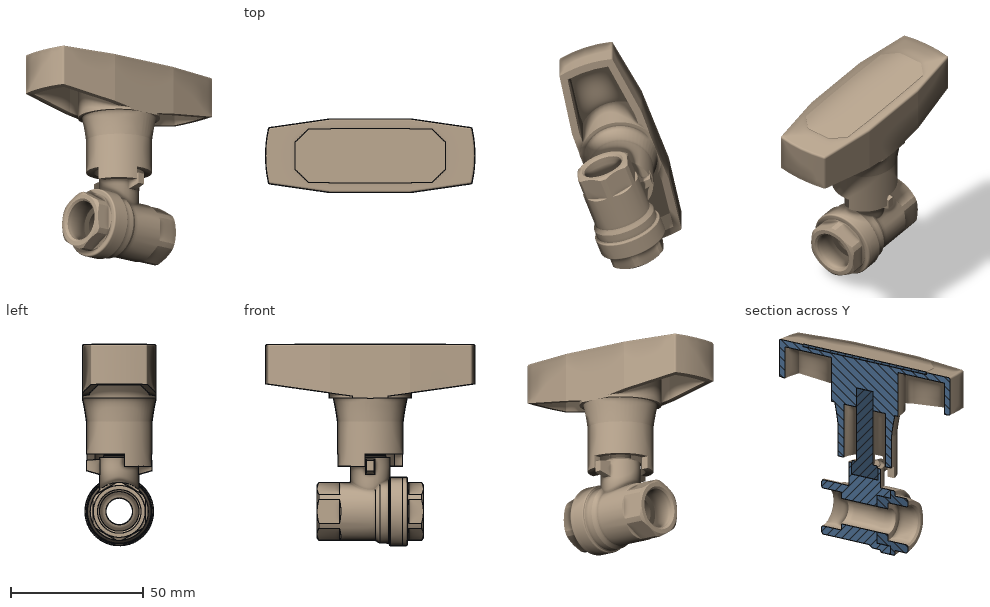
import cadquery as cq
import math


END_X = 20.2
BORE_D = 10.0
THREAD_D = 15.0
THREAD_MOUTH_D = 16.5
THREAD_LENGTH = 9.3
MOUTH_DEPTH = 0.7

BARREL_R = 10.97
HEX_FLAT_DIST = 10.0
HEX_RUNOUT = 0.7
END_FACE_R = 9.8
END_CHAMFER = 0.8
BODY_FLAT_END = -11.1
CONE_START_X = 1.9
CONE_END_X = 3.65
SHOULDER_R = 12.05
COLLAR_START_X = 7.3
COLLAR_R = 13.0
COLLAR_ROUND = 0.4
JOINT_X = 12.1
FLANGE_END_X = 14.0
FLANGE_ROUND = 0.55
SPIGOT_D = 18.9
SPIGOT_LENGTH = 6.3
NECK_D = 15.0
NECK_TOP = 20.4
NECK_ROUND = 0.4

LUG_REACH = 12.4
LUG_ROOT_WIDTH = 3.5
LUG_TIP_WIDTH = 2.7
LUG_ROOT_TOP = 19.7
LUG_TIP_TOP = 19.3
LUG_ROOT_BOTTOM = 13.95
LUG_TIP_BOTTOM = 15.4

STEM_SHOULDER_D = 12.0
STEM_SHOULDER_CHAMFER = 0.4
STEM_SHOULDER_TOP = 21.4
STEM_BOTTOM = 15.85
STEM_SHAFT_D = 8.0
STEM_TOP = 50.7

SLEEVE_R = 12.4
SLEEVE_BORE_D = 18.9
SKIRT_BOTTOM = 17.0
SKIRT_TOP = 21.6
SKIRT_GAP = 2.0
FLARE_START = 33.9
FLARE_MID_INSET = 0.12
HUB_BOTTOM = 42.85
HUB_R = 15.5

GRIP_HALF_LENGTH = 39.6
GRIP_HALF_WIDTH = 13.98
GRIP_TOP = 63.1
GRIP_APEX_Z = 42.6
UNDERSIDE_SLOPE = math.tan(math.radians(8))
ARM_TAPER = math.tan(math.radians(8.2))
GRIP_FLAT_HALF = 15.05
GRIP_CORNER_X = 38.4
GRIP_WALL = 2.8
GRIP_ROUND = 0.8

CAP_HALF_LENGTH = 28.5
CAP_HALF_WIDTH = 10.4
CAP_CORNER_Y = 10.1
CAP_LONG_HALF = 23.4
CAP_SHORT_HALF = 5.1
CAP_TOP = 63.4
CAP_RECESS = 0.8


def turned(points):
    """Solid of revolution about X from (x, radius) points, closed along the axis."""
    closed = [(points[0][0], 0)] + points + [(points[-1][0], 0)]
    return cq.Workplane("XY").polyline(closed).close().revolve(360, (0, 0, 0), (1, 0, 0))


def rod(diameter, bottom, top):
    return cq.Workplane("XY").workplane(offset=bottom).circle(diameter / 2).extrude(top - bottom)


def hex_flats(inner_x, end_x):
    """Cutter for six flats that run from inner_x past end_x, with a sloped run-out at inner_x."""
    outward = math.copysign(0.8, end_x - inner_x)
    past_end = end_x + outward
    profile = [
        (inner_x, BARREL_R),
        (inner_x + outward * HEX_RUNOUT, HEX_FLAT_DIST),
        (past_end, HEX_FLAT_DIST),
        (past_end, BARREL_R + 0.8),
        (inner_x, BARREL_R + 0.8),
    ]
    one_flat = cq.Workplane("XY").polyline(profile).close().extrude(BARREL_R / 2, both=True)
    flats = one_flat
    for index in range(1, 6):
        flats = flats.union(one_flat.rotate((0, 0, 0), (1, 0, 0), 60 * index))
    return flats


def waterway(end_sign):
    """Threaded mouth at one end and the straight bore to the far end."""
    mouth = turned([
        (-END_X, THREAD_MOUTH_D / 2),
        (-END_X + MOUTH_DEPTH, THREAD_D / 2),
        (-END_X + THREAD_LENGTH, THREAD_D / 2),
        (-END_X + THREAD_LENGTH, BORE_D / 2),
        (END_X, BORE_D / 2),
    ])
    return mouth if end_sign < 0 else mouth.mirror("YZ")


def spigot():
    return turned([(JOINT_X - SPIGOT_LENGTH, SPIGOT_D / 2), (JOINT_X, SPIGOT_D / 2)])


def lug_bar(plane, root_low, root_high, tip_low, tip_high, depth):
    """Bar along Y that tapers from the neck to both tips, extruded both ways from its plane."""
    root = NECK_D / 2
    profile = [
        (-LUG_REACH, tip_high),
        (-root, root_high),
        (root, root_high),
        (LUG_REACH, tip_high),
        (LUG_REACH, tip_low),
        (root, root_low),
        (-root, root_low),
        (-LUG_REACH, tip_low),
    ]
    return cq.Workplane(plane).polyline(profile).close().extrude(depth, both=True)


def stop_lugs():
    """Bar across the neck, tapered in height and width, whose two ends are the stop lugs."""
    heights = lug_bar("YZ", LUG_ROOT_BOTTOM, LUG_ROOT_TOP, LUG_TIP_BOTTOM, LUG_TIP_TOP, LUG_ROOT_WIDTH)
    y_up_plane = cq.Plane(origin=(0, 0, 0), xDir=(0, 1, 0), normal=(0, 0, 1))
    root_half = LUG_ROOT_WIDTH / 2
    tip_half = LUG_TIP_WIDTH / 2
    widths = lug_bar(y_up_plane, -root_half, root_half, -tip_half, tip_half, LUG_ROOT_TOP)
    return heights.intersect(widths)


def stem_shoulder():
    return rod(STEM_SHOULDER_D, STEM_BOTTOM, STEM_SHOULDER_TOP)


def make_valve_body():
    barrel = turned([
        (-END_X, END_FACE_R),
        (-END_X + END_CHAMFER, BARREL_R),
        (CONE_START_X, BARREL_R),
        (CONE_END_X, SHOULDER_R),
        (COLLAR_START_X - COLLAR_ROUND, SHOULDER_R),
        (COLLAR_START_X, SHOULDER_R + COLLAR_ROUND),
        (COLLAR_START_X, COLLAR_R),
        (JOINT_X, COLLAR_R),
    ])
    outer_rims = barrel.edges(cq.selectors.RadiusNthSelector(-1))
    barrel = outer_rims.edges("<X").fillet(COLLAR_ROUND)
    barrel = barrel.cut(hex_flats(BODY_FLAT_END, -END_X))
    neck_foot = cq.selectors.BoxSelector(
        (-NECK_D, -NECK_D, NECK_D / 2), (COLLAR_START_X - 0.1, NECK_D, COLLAR_R), boundingbox=True
    )
    body = barrel.union(rod(NECK_D, 0, NECK_TOP))
    body = body.edges(neck_foot).fillet(NECK_ROUND).union(stop_lugs())
    return body.cut(waterway(-1)).cut(spigot()).cut(stem_shoulder())


def make_end_piece():
    piece = turned([
        (JOINT_X, COLLAR_R),
        (FLANGE_END_X, COLLAR_R),
        (FLANGE_END_X, BARREL_R),
        (END_X - END_CHAMFER, BARREL_R),
        (END_X, END_FACE_R),
    ])
    outer_rims = piece.edges(cq.selectors.RadiusNthSelector(-1))
    piece = outer_rims.edges(">X").fillet(FLANGE_ROUND)
    piece = piece.cut(hex_flats(FLANGE_END_X, END_X))
    return piece.union(spigot()).cut(waterway(1))


def make_stem():
    shoulder = stem_shoulder().faces(">Z").chamfer(STEM_SHOULDER_CHAMFER)
    return shoulder.union(rod(STEM_SHAFT_D, STEM_BOTTOM, STEM_TOP))


def grip_outline():
    """Plan of the grip: parallel middle, tapered arms and bowed ends."""
    corner_y = GRIP_HALF_WIDTH - (GRIP_CORNER_X - GRIP_FLAT_HALF) * ARM_TAPER
    return (
        cq.Workplane("XY")
        .moveTo(-GRIP_FLAT_HALF, -GRIP_HALF_WIDTH)
        .lineTo(GRIP_FLAT_HALF, -GRIP_HALF_WIDTH)
        .lineTo(GRIP_CORNER_X, -corner_y)
        .threePointArc((GRIP_HALF_LENGTH, 0), (GRIP_CORNER_X, corner_y))
        .lineTo(GRIP_FLAT_HALF, GRIP_HALF_WIDTH)
        .lineTo(-GRIP_FLAT_HALF, GRIP_HALF_WIDTH)
        .lineTo(-GRIP_CORNER_X, corner_y)
        .threePointArc((-GRIP_HALF_LENGTH, 0), (-GRIP_CORNER_X, -corner_y))
        .close()
    )


def above_grip_underside():
    """Space above the two slopes of the underside."""
    rise = GRIP_HALF_LENGTH * UNDERSIDE_SLOPE
    profile = [
        (0, GRIP_APEX_Z),
        (GRIP_HALF_LENGTH, GRIP_APEX_Z + rise),
        (GRIP_HALF_LENGTH, GRIP_TOP),
        (-GRIP_HALF_LENGTH, GRIP_TOP),
        (-GRIP_HALF_LENGTH, GRIP_APEX_Z + rise),
    ]
    return cq.Workplane("XZ").polyline(profile).close().extrude(GRIP_HALF_WIDTH, both=True)


def grip_prism():
    return grip_outline().extrude(GRIP_TOP)


def make_grip():
    """Grip shell, open below, around a round hub."""
    outside = grip_prism()
    outside = outside.edges("|Z").edges("<X or >X").fillet(GRIP_ROUND)
    outside = outside.faces(">Z").edges().fillet(GRIP_ROUND)
    hollow = grip_outline().offset2D(-GRIP_WALL).extrude(GRIP_TOP - GRIP_WALL)
    shell = outside.intersect(above_grip_underside()).cut(hollow)
    hub = rod(2 * HUB_R, HUB_BOTTOM, GRIP_TOP - GRIP_WALL).intersect(grip_prism())
    return shell.union(hub)


def make_sleeve():
    """Tube under the hub, flared at its top, with two opposite quarter skirts at its foot."""
    mid_z = (FLARE_START + HUB_BOTTOM) / 2
    mid_r = (SLEEVE_R + GRIP_HALF_WIDTH) / 2 - FLARE_MID_INSET
    tube = (
        cq.Workplane("XZ")
        .moveTo(0, SKIRT_BOTTOM)
        .lineTo(SLEEVE_R, SKIRT_BOTTOM)
        .lineTo(SLEEVE_R, FLARE_START)
        .threePointArc((mid_r, mid_z), (GRIP_HALF_WIDTH, HUB_BOTTOM))
        .lineTo(0, HUB_BOTTOM)
        .close()
        .revolve(360, (0, 0, 0), (0, 1, 0))
        .cut(rod(SLEEVE_BORE_D, SKIRT_BOTTOM, HUB_BOTTOM))
    )
    foot = rod(2 * SLEEVE_R, SKIRT_BOTTOM, SKIRT_TOP)
    for side in (-1, 1):
        quarter = (
            cq.Workplane("XY")
            .workplane(offset=SKIRT_BOTTOM)
            .moveTo(side * SKIRT_GAP, side * SKIRT_GAP)
            .rect(side * SLEEVE_R, side * SLEEVE_R, centered=False)
            .extrude(SKIRT_TOP - SKIRT_BOTTOM)
        )
        foot = foot.cut(quarter)
    return tube.cut(foot)


def cap_plate():
    """Eight-sided plate with slightly bowed long sides, sunk into the top of the grip."""
    floor = GRIP_TOP - CAP_RECESS
    return (
        cq.Workplane("XY")
        .workplane(offset=floor)
        .moveTo(-CAP_LONG_HALF, -CAP_CORNER_Y)
        .threePointArc((0, -CAP_HALF_WIDTH), (CAP_LONG_HALF, -CAP_CORNER_Y))
        .lineTo(CAP_HALF_LENGTH, -CAP_SHORT_HALF)
        .lineTo(CAP_HALF_LENGTH, CAP_SHORT_HALF)
        .lineTo(CAP_LONG_HALF, CAP_CORNER_Y)
        .threePointArc((0, CAP_HALF_WIDTH), (-CAP_LONG_HALF, CAP_CORNER_Y))
        .lineTo(-CAP_HALF_LENGTH, CAP_SHORT_HALF)
        .lineTo(-CAP_HALF_LENGTH, -CAP_SHORT_HALF)
        .close()
        .extrude(CAP_TOP - floor)
    )


def make_handle():
    handle = make_grip().union(make_sleeve())
    return handle.cut(cap_plate()).cut(rod(STEM_SHAFT_D, HUB_BOTTOM, STEM_TOP))


valve_body = make_valve_body()
end_piece = make_end_piece()
stem = make_stem()
handle = make_handle()
cap = cap_plate()

result = cq.Compound.makeCompound([
    valve_body.val(),
    end_piece.val(),
    stem.val(),
    handle.val(),
    cap.val(),
])